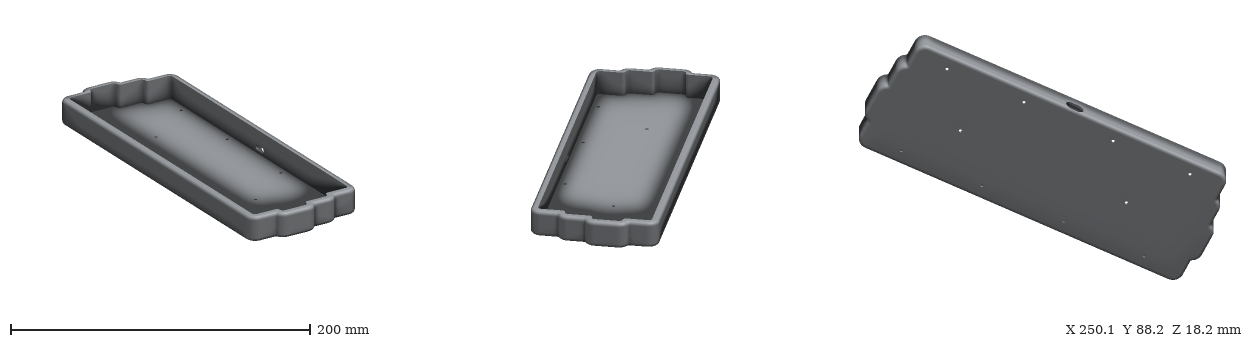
import cadquery as cq
import math

KEY_PITCH = 19.05
TIER_STEP = KEY_PITCH / 4
WIDEST_TIER_KEYS = 12.5
TIER_ROWS = [(-1, 0), (-2, 1), (-2, 2)]
VALLEYS = [(0, 1), (0, -1), (1, 1)]

HEIGHT = 18.2
OUTER_MARGIN = 6.0
CAVITY_MARGIN = 1.0
FLOOR_THICKNESS = 1.2
OUTER_CORNER_R = 7.5
OUTER_VALLEY_R = 1.25
CAVITY_CORNER_R = 2.5
CAVITY_VALLEY_R = 2.25
RIM_ROUND_R = 2.5

SCREW_D = 2.2
SCREW_ROW_Y = 34.5
SCREW_MIDDLE_Y = -3.6
SCREW_ROWS = [
    (SCREW_ROW_Y, [33.2, 90.5]),
    (SCREW_MIDDLE_Y, [61.85]),
    (-SCREW_ROW_Y, [30.5, 90.5]),
]

PORT_WIDTH = 10.0
PORT_HEIGHT = 3.5
PORT_CENTRE_Z = 5.2
PORT_WEB = 2.0
RECESS_WIDTH = 13.0
RECESS_HEIGHT = 8.0


def tier_half_width(tier, margin):
    return WIDEST_TIER_KEYS * KEY_PITCH / 2 - tier * TIER_STEP + margin


def valley_y(tier, end, margin, corner_r):
    """Y at which the rounded corner of a tier runs into the end wall of the next tier."""
    low, high = TIER_ROWS[tier]
    tier_edge = (high if end > 0 else low) * KEY_PITCH + end * margin
    run = max(corner_r - TIER_STEP, 0)
    return tier_edge - end * (corner_r - math.sqrt(corner_r**2 - run**2))


def stepped_prism(margin, height, corner_r, valley_r):
    """Prism over the key field grown by a margin, with its vertical edges rounded."""
    prism = cq.Workplane("XY")
    for tier, (low, high) in enumerate(TIER_ROWS):
        width = 2 * tier_half_width(tier, margin)
        depth = (high - low) * KEY_PITCH + 2 * margin
        block = (
            cq.Workplane("XY")
            .center(0, (low + high) / 2 * KEY_PITCH)
            .rect(width, depth)
            .extrude(height)
            .edges("|Z")
            .fillet(corner_r)
        )
        prism = prism.union(block) if tier else block
    for tier, end in VALLEYS:
        y = valley_y(tier, end, margin, corner_r)
        for side in (-1, 1):
            valley = (side * tier_half_width(tier + 1, margin), y, height / 2)
            prism = prism.edges(cq.selectors.NearestToPointSelector(valley)).fillet(valley_r)
    return prism


def make_case():
    case = stepped_prism(OUTER_MARGIN, HEIGHT, OUTER_CORNER_R, OUTER_VALLEY_R)
    case = case.faces("<Z or >Z").edges().fillet(RIM_ROUND_R)
    cavity = stepped_prism(CAVITY_MARGIN, HEIGHT, CAVITY_CORNER_R, CAVITY_VALLEY_R)
    return case.cut(cavity.translate((0, 0, FLOOR_THICKNESS)))


def screw_holes():
    points = [(side * x, y) for y, offsets in SCREW_ROWS for x in offsets for side in (-1, 1)]
    return cq.Workplane("XY").pushPoints(points).circle(SCREW_D / 2).extrude(FLOOR_THICKNESS)


def back_wall_slot(width, height, start_y, depth):
    """Round-ended slot running from start_y towards +Y."""
    return (
        cq.Workplane("XZ", origin=(0, start_y, PORT_CENTRE_Z))
        .slot2D(width, height)
        .extrude(-depth)
    )


def cable_port():
    wall_inner_y = TIER_ROWS[-1][1] * KEY_PITCH + CAVITY_MARGIN
    wall_thickness = OUTER_MARGIN - CAVITY_MARGIN
    slot = back_wall_slot(PORT_WIDTH, PORT_HEIGHT, wall_inner_y, wall_thickness)
    recess_depth = wall_thickness - PORT_WEB
    recess = back_wall_slot(RECESS_WIDTH, RECESS_HEIGHT, wall_inner_y + PORT_WEB, recess_depth)
    return slot.union(recess)


result = make_case().cut(screw_holes()).cut(cable_port())